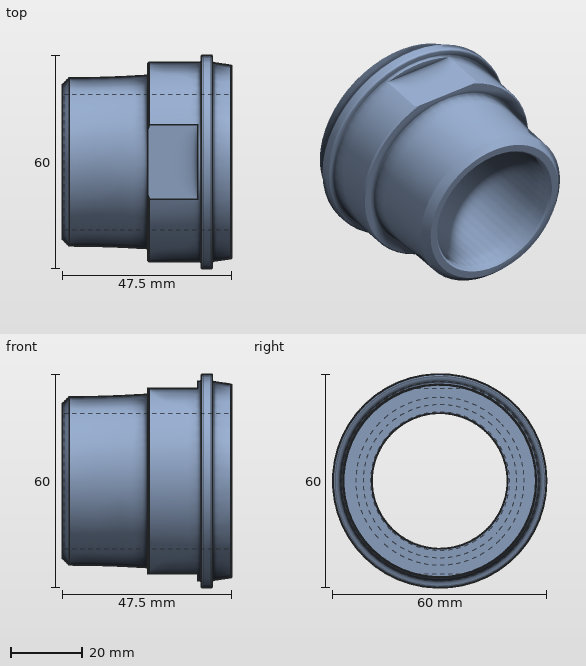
import cadquery as cq
import math

total_length = 47.5
nose_chamfer = 2.05
body_start = 24.05
flange_start = 39.0
flange_end = 42.2

bore_radius = 38.0 / 2
body_radius = 56.0 / 2
flange_radius = 60 / 2
neck_radius = 23.6
neck_root_radius = 24.3
tail_root_radius = 27.85
tail_end_radius = 27.1

bore_chamfer = 0.5
body_chamfer = 0.4
flange_round = 0.6
neck_fillet = 0.35
flange_fillet = 0.3
tail_chamfer = 0.2

flat_distance = 26.0
flat_end = 38.05


def neck_curve_point(x):
    """Point on the concave neck arc, which starts parallel to the axis."""
    length = body_start - neck_fillet - nose_chamfer
    rise = neck_root_radius - neck_radius
    arc_radius = (length**2 + rise**2) / (2 * rise)
    offset = x - nose_chamfer
    return x, neck_radius + arc_radius - math.sqrt(arc_radius**2 - offset**2)


def fillet_middle(corner_x, corner_radius, size, side):
    """Middle of a concave fillet; side is -1 before a shoulder and 1 after it."""
    inset = size * (1 - math.sqrt(0.5))
    return corner_x + side * inset, corner_radius + inset


def turned_body():
    neck_end = body_start - neck_fillet
    neck_middle = (nose_chamfer + neck_end) / 2
    round_inset = flange_round * (1 - math.sqrt(0.5))
    profile = (
        cq.Workplane("XY")
        .moveTo(0, bore_radius + bore_chamfer)
        .lineTo(0, neck_radius - nose_chamfer)
        .lineTo(nose_chamfer, neck_radius)
        .threePointArc(neck_curve_point(neck_middle), neck_curve_point(neck_end))
        .threePointArc(
            fillet_middle(body_start, neck_root_radius, neck_fillet, -1),
            (body_start, neck_root_radius + neck_fillet),
        )
        .lineTo(body_start, body_radius - body_chamfer)
        .lineTo(body_start + body_chamfer, body_radius)
        .lineTo(flange_start - flange_fillet, body_radius)
        .threePointArc(
            fillet_middle(flange_start, body_radius, flange_fillet, -1),
            (flange_start, body_radius + flange_fillet),
        )
        .lineTo(flange_start, flange_radius - flange_round)
        .threePointArc(
            (flange_start + round_inset, flange_radius - round_inset),
            (flange_start + flange_round, flange_radius),
        )
        .lineTo(flange_end - flange_round, flange_radius)
        .threePointArc(
            (flange_end - round_inset, flange_radius - round_inset),
            (flange_end, flange_radius - flange_round),
        )
        .lineTo(flange_end, tail_root_radius + flange_fillet)
        .threePointArc(
            fillet_middle(flange_end, tail_root_radius, flange_fillet, 1),
            (flange_end + flange_fillet, tail_root_radius),
        )
        .lineTo(total_length - tail_chamfer, tail_end_radius)
        .lineTo(total_length, tail_end_radius - tail_chamfer)
        .lineTo(total_length, bore_radius)
        .lineTo(bore_chamfer, bore_radius)
        .close()
    )
    return profile.revolve(360, (0, 0, 0), (1, 0, 0))


def flat_cutter(side):
    """Block that removes the body outside one wrench flat."""
    depth = flange_radius - flat_distance
    block = cq.Workplane("XY").box(
        flat_end - body_start, 2 * flange_radius, depth, centered=(False, True, True)
    )
    return block.translate((body_start, 0, side * (flat_distance + depth / 2)))


result = turned_body()
for side in (-1, 1):
    result = result.cut(flat_cutter(side))